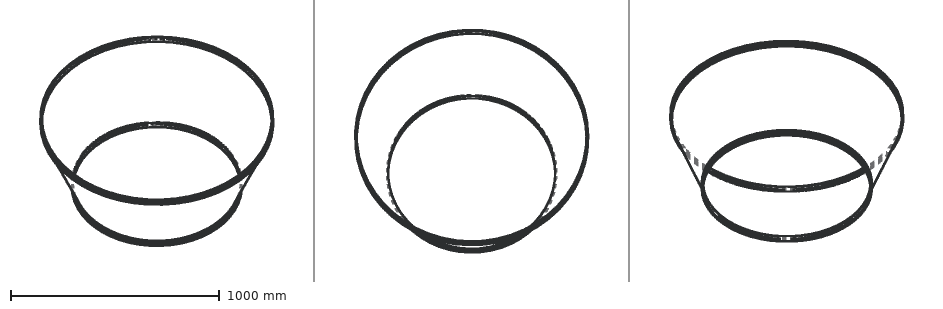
import cadquery as cq

total_height = 458.8
small_bore = 800.0
large_bore = 1100.0
sheet_thickness = 1.0

collar_height = 30.0
collar_thickness = 5.9

lip_projection = 3.3
lip_root_height = 10.0
lip_tip_height = 3.2

bead_projection = 1.0
bead_height = 1.0

small_radius = small_bore / 2
large_radius = large_bore / 2
upper_collar_base = total_height - collar_height


def revolve_profile(points):
    """Revolve a closed (radius, height) outline about the Z axis."""
    return cq.Workplane("XZ").polyline(points).close().revolve(360, (0, 0, 0), (0, 1, 0))


def lip_points(collar_radius, base_height):
    """Trapezoidal lip, rooted on the collar's outside, listed from bottom to top."""
    tip_radius = collar_radius + lip_projection
    taper_height = (lip_root_height - lip_tip_height) / 2
    top_height = base_height + lip_root_height
    return [
        (collar_radius, base_height),
        (tip_radius, base_height + taper_height),
        (tip_radius, top_height - taper_height),
        (collar_radius, top_height),
    ]


def bead_points(collar_radius, middle_height):
    """Small V-shaped ridge on the collar's outside, listed from bottom to top."""
    return [
        (collar_radius, middle_height - bead_height / 2),
        (collar_radius + bead_projection, middle_height),
        (collar_radius, middle_height + bead_height / 2),
    ]


def lipped_collar(bore_radius, base_height):
    """Straight ring with a lip at each end and a bead halfway up."""
    outer_radius = bore_radius + collar_thickness
    top_height = base_height + collar_height
    profile = [
        (bore_radius, base_height),
        *lip_points(outer_radius, base_height),
        *bead_points(outer_radius, base_height + collar_height / 2),
        *lip_points(outer_radius, top_height - lip_root_height),
        (bore_radius, top_height),
    ]
    return revolve_profile(profile)


def reducer_cone():
    """Thin conical wall whose ends sit on the two collars, flush with their bores."""
    return revolve_profile([
        (small_radius, collar_height),
        (small_radius + sheet_thickness, collar_height),
        (large_radius + sheet_thickness, upper_collar_base),
        (large_radius, upper_collar_base),
    ])


cone = reducer_cone()
collars = [
    lipped_collar(bore_radius, base_height)
    for bore_radius, base_height in [(small_radius, 0), (large_radius, upper_collar_base)]
]

result = cq.Compound.makeCompound([cone.val(), *[collar.val() for collar in collars]])